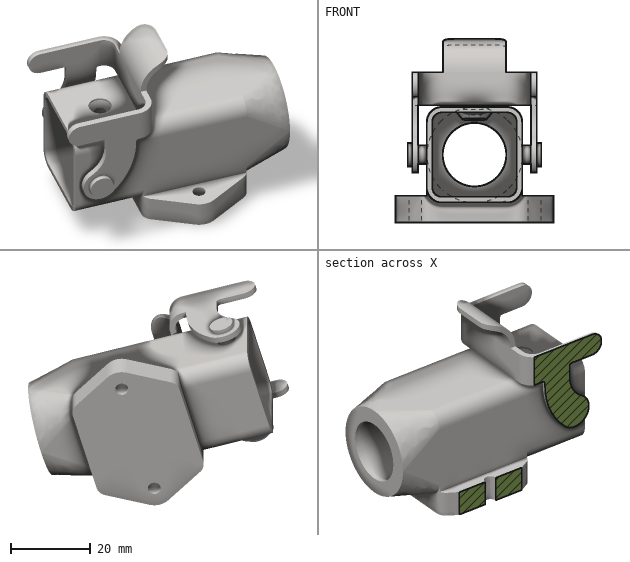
import cadquery as cq
import math


body_width = 24.1
body_length = 57.5
body_corner_radius = 3.8
body_bottom = 5.1
axis_height = body_bottom + body_width / 2
straight_length = 45.95
round_end_flat = 0.01

cavity_width = 21.35
cavity_corner_radius = 2.4
cavity_end_radius = 0.6
cavity_depth = straight_length
bore_diameter = 16.0

flange_height = 6.8
flange_center_y = 32.05
flange_half_length = 14.0
flange_hole_offset = 15.0
flange_tip_radius = 4.95
flange_corner_radius = 3.0
flange_side_angle = 30.0
flange_hole_diameter = 3.3

screw_y = 10.9
screw_hole_diameter = 3.0
countersink_diameter = 5.8
countersink_rim_depth = 0.55
boss_top_diameter = 8.95
boss_bottom_diameter = 6.0
boss_height = 1.75
boss_end_tilt = 6.0
boss_end_drop = 0.5

pin_y = 5.45
pin_diameter = 4.8
pin_head_diameter = 6.0
pin_head_height = 1.15
pin_embedding = 0.6

strip_thickness = 1.5
lever_width = 31.5
lever_bend_radius = 4.5
lever_back_y = 20.4
lever_top = 38.0
lever_back_height = 8.4
lever_bottom = lever_top - lever_back_height
finger_height = 6.2
arm_front_y = 6.95
arm_back_y = 14.95
arm_front_radius = 8.0
arm_back_radius = 20.0
eye_radius = 4.55
lever_corner_fillet = 0.6

tab_width = 16.0
tab_outer_radius = 8.4
tab_corner_radius = 4.0


def square_prism(width, corner_radius, length):
    """Square bar around the housing axis, running from the mouth towards +Y."""
    bar = cq.Workplane("XZ", origin=(0, 0, axis_height)).rect(width, width).extrude(-length)
    return bar.edges("|Y").fillet(corner_radius)


def rounded_square(width, corner_radius):
    return cq.Sketch().rect(width, width).vertices().fillet(corner_radius)


def make_housing():
    """Rounded square bar blending into an almost circular cable end."""
    straight = square_prism(body_width, body_corner_radius, straight_length)
    transition = (
        cq.Workplane("XZ", origin=(0, straight_length, axis_height))
        .placeSketch(
            rounded_square(body_width, body_corner_radius),
            rounded_square(body_width, (body_width - round_end_flat) / 2).moved(
                cq.Location(cq.Vector(0, 0, straight_length - body_length))
            ),
        )
        .loft(ruled=True)
    )
    return straight.union(transition)


def make_flange():
    """Hexagonal foot, carried up to the housing sides over the width of the housing."""
    angle = math.radians(flange_side_angle)
    tip_x = flange_hole_offset + flange_tip_radius / math.cos(angle)
    end_x = tip_x - flange_half_length * math.tan(angle)
    outline = [
        (tip_x, 0),
        (end_x, flange_half_length),
        (-end_x, flange_half_length),
        (-tip_x, 0),
        (-end_x, -flange_half_length),
        (end_x, -flange_half_length),
    ]
    column = cq.Workplane("XY", origin=(0, flange_center_y, 0)).polyline(outline).close().extrude(axis_height)
    column = column.edges("|Z and (>X or <X)").fillet(flange_tip_radius)
    column = column.edges("|Z and (>Y or <Y)").fillet(flange_corner_radius)

    blocks = cq.Workplane("XY", origin=(0, flange_center_y, 0))
    foot_block = blocks.rect(2 * tip_x, 2 * flange_half_length).extrude(flange_height)
    saddle_block = blocks.rect(body_width, 2 * flange_half_length).extrude(axis_height)
    return column.intersect(foot_block.union(saddle_block))


def make_flange_holes():
    return (
        cq.Workplane("XY", origin=(0, flange_center_y, 0))
        .pushPoints([(-flange_hole_offset, 0), (flange_hole_offset, 0)])
        .circle(flange_hole_diameter / 2)
        .extrude(flange_height)
    )


def make_cavity():
    """Plug space whose side walls meet the end wall in small vertical rounds."""
    bar = square_prism(cavity_width, cavity_corner_radius, cavity_depth)
    rounded_end = (
        cq.Workplane("XY")
        .rect(cavity_width, 2 * cavity_depth)
        .extrude(2 * axis_height)
        .edges("|Z")
        .fillet(cavity_end_radius)
    )
    return bar.intersect(rounded_end)


def make_bore():
    return cq.Workplane("XZ", origin=(0, 0, axis_height)).circle(bore_diameter / 2).extrude(-body_length)


def make_screw_boss():
    """Cone narrowing downwards from the ceiling, with its end face tilted towards the mouth."""
    ceiling = axis_height + cavity_width / 2
    cone_slope = (boss_top_diameter - boss_bottom_diameter) / 2 / boss_height
    cone_length = boss_height + boss_end_drop
    cone = cq.Workplane(
        cq.Solid.makeCone(
            boss_top_diameter / 2,
            boss_top_diameter / 2 - cone_slope * cone_length,
            cone_length,
            cq.Vector(0, screw_y, ceiling),
            cq.Vector(0, 0, -1),
        )
    )
    below_end = (
        cq.Workplane("XY", origin=(0, screw_y, ceiling - boss_height))
        .transformed(rotate=(-boss_end_tilt, 0, 0))
        .rect(2 * boss_top_diameter, 2 * boss_top_diameter)
        .extrude(-2 * boss_height)
    )
    return cone.cut(below_end)


def make_screw_hole():
    """Stepped cutter reaching from the roof down into the plug cavity."""
    roof = body_bottom + body_width
    seat_depth = (countersink_diameter - screw_hole_diameter) / 2
    profile = [
        (0, axis_height),
        (screw_hole_diameter / 2, axis_height),
        (screw_hole_diameter / 2, roof - countersink_rim_depth - seat_depth),
        (countersink_diameter / 2, roof - countersink_rim_depth),
        (countersink_diameter / 2, roof),
        (0, roof),
    ]
    hole = cq.Workplane("XZ").polyline(profile).close().revolve(360, (0, 0), (0, 1))
    return hole.translate((0, screw_y, 0))


def make_pin(side):
    """Pivot pin on the side given by -1 or +1, with its head outside the lever arm."""
    start = body_width / 2 - pin_embedding
    head_start = lever_width / 2
    shaft = cq.Workplane("YZ", origin=(side * start, pin_y, axis_height))
    shaft = shaft.circle(pin_diameter / 2).extrude(side * (head_start - start))
    head = cq.Workplane("YZ", origin=(side * head_start, pin_y, axis_height))
    head = head.circle(pin_head_diameter / 2).extrude(side * pin_head_height)
    return shaft.union(head)


def lever_side_profile():
    """Side outline of the lever: back strip, finger and a curved arm that ends in the pin eye."""
    finger_radius = finger_height / 2
    finger_bottom = lever_top - finger_height

    front_center_y = arm_front_y - arm_front_radius
    front_reach = arm_front_radius + eye_radius
    front_center_z = axis_height + math.sqrt(front_reach**2 - (pin_y - front_center_y) ** 2)
    back_center_y = arm_back_y - arm_back_radius
    back_reach = arm_back_radius - eye_radius
    back_center_z = axis_height + math.sqrt(back_reach**2 - (pin_y - back_center_y) ** 2)

    front_angle = math.atan2(axis_height - front_center_z, pin_y - front_center_y)
    back_angle = math.atan2(axis_height - back_center_z, pin_y - back_center_y)

    def on_front_arc(angle):
        return (
            front_center_y + arm_front_radius * math.cos(angle),
            front_center_z + arm_front_radius * math.sin(angle),
        )

    def on_back_arc(angle):
        return (
            back_center_y + arm_back_radius * math.cos(angle),
            back_center_z + arm_back_radius * math.sin(angle),
        )

    return (
        cq.Workplane("YZ", origin=(-lever_width / 2, 0, 0))
        .moveTo(lever_back_y, lever_top)
        .lineTo(0, lever_top)
        .threePointArc((-finger_radius, lever_top - finger_radius), (0, finger_bottom))
        .lineTo(arm_front_y, finger_bottom)
        .lineTo(*on_front_arc(0))
        .threePointArc(on_front_arc(front_angle / 2), on_front_arc(front_angle))
        .threePointArc((pin_y, axis_height - eye_radius), on_back_arc(back_angle))
        .threePointArc(on_back_arc(back_angle / 2), on_back_arc(0))
        .lineTo(arm_back_y, lever_bottom)
        .lineTo(lever_back_y, lever_bottom)
        .close()
    )


def make_lever():
    """Bent U-shaped strip, trimmed to the side outline."""
    u_length = lever_back_y + finger_height
    u_center_y = lever_back_y - u_length / 2
    outer = (
        cq.Workplane("XY", origin=(0, u_center_y, 0))
        .rect(lever_width, u_length)
        .extrude(lever_top)
        .edges("|Z and >Y")
        .fillet(lever_bend_radius)
    )
    inner = (
        cq.Workplane("XY", origin=(0, u_center_y - strip_thickness, 0))
        .rect(lever_width - 2 * strip_thickness, u_length)
        .extrude(lever_top)
        .edges("|Z and >Y")
        .fillet(lever_bend_radius - strip_thickness)
    )
    side = lever_side_profile().extrude(lever_width)
    for corner in [(0, arm_front_y, lever_top - finger_height), (0, arm_back_y, lever_bottom)]:
        side = side.edges(cq.selectors.NearestToPointSelector(corner)).fillet(lever_corner_fillet)
    return outer.cut(inner).intersect(side)


def make_tab():
    """Quarter-circle curl rising from the back of the lever, with rounded free corners."""
    center_y = lever_back_y - strip_thickness + tab_outer_radius
    curl_box = (
        cq.Workplane("XY", origin=(0, center_y - tab_outer_radius / 2, lever_top))
        .rect(tab_width, tab_outer_radius)
        .extrude(tab_outer_radius)
        .edges("|Z and >Y")
        .fillet(tab_corner_radius)
    )
    ring = (
        cq.Workplane("YZ", origin=(-tab_width / 2, center_y, lever_top))
        .circle(tab_outer_radius)
        .circle(tab_outer_radius - strip_thickness)
        .extrude(tab_width)
    )
    return ring.intersect(curl_box)


result = make_housing().union(make_flange())
result = result.cut(make_cavity()).cut(make_bore()).cut(make_flange_holes())
result = result.union(make_screw_boss()).cut(make_screw_hole())
result = result.union(make_lever()).union(make_tab())
for pin_side in (-1, 1):
    result = result.union(make_pin(pin_side))